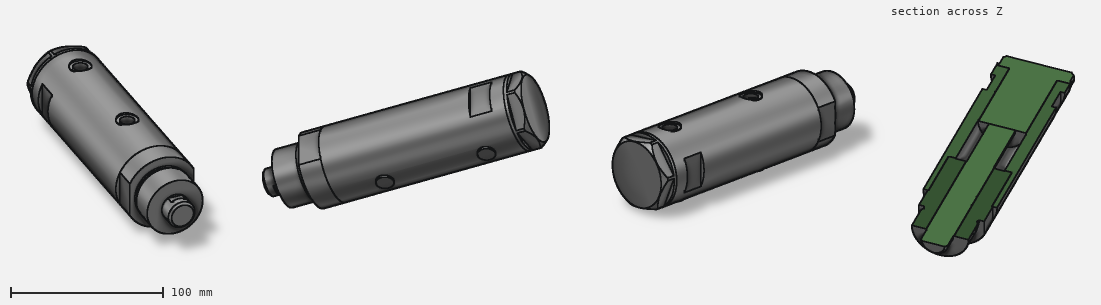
import cadquery as cq
import math

HEX_LENGTH = 8.8
FLANGE_LENGTH = 2.4
HOUSING_START = HEX_LENGTH + FLANGE_LENGTH
HOUSING_END = 143.6
COLLAR_END = 159.3
NOSE_END = 180.0
TOTAL_LENGTH = 192.02

BODY_DIAMETER = 52.0
BORE_DIAMETER = 34.0
NOSE_DIAMETER = 40.0
GLAND_SPIGOT_DIAMETER = 44.0
ROD_DIAMETER = 19.0

HEX_ACROSS_FLATS = 46.0
HEX_ROTATION = -7.5
HEX_CHAMFER = 3.2

WRENCH_FLATS = 46.0
HOUSING_FLAT_START = 21.0
HOUSING_FLAT_LENGTH = 15.2

PORT_POSITIONS = (30.3, 104.5)
PORT_DIAMETER = 10.0
SPOTFACE_DIAMETER = 15.0
SPOTFACE_DEPTH = 1.4

PAD_POSITIONS = (35.0, 107.8)
PAD_DIAMETER = 12.0
PAD_HEIGHT = 1.1

CAP_SPIGOT_END = sum(PORT_POSITIONS) / 2
GLAND_SPIGOT_START = 107.3

UNDERCUT_LENGTH = 3.4
UNDERCUT_FLAT_LENGTH = 0.9
UNDERCUT_DIAMETER = 37.4
UNDERCUT_FIRST_CONE = 0.9
UNDERCUT_SHOULDER_DIAMETER = 39.0

TIP_FLAT_LENGTH = 5.7
TIP_ACROSS_FLATS = 16.0
TIP_CHAMFER = 1.6


def cylinder(diameter, start, end):
    """Solid cylinder on the X axis between two stations."""
    return cq.Workplane("YZ", origin=(start, 0, 0)).circle(diameter / 2).extrude(end - start)


def flat_cutters(across, start, length):
    """Two blocks that leave a pair of flats facing +/- Y."""
    cutters = cq.Workplane()
    for side in (-1, 1):
        block = cq.Workplane().box(length, BODY_DIAMETER, 2 * BODY_DIAMETER)
        y_center = side * (across + BODY_DIAMETER) / 2
        cutters = cutters.add(block.translate((start + length / 2, y_center, 0)))
    return cutters.combine()


def make_cap():
    """Hex cap with a round flange and a solid spigot that closes the rear of the bore."""
    hex_corners = HEX_ACROSS_FLATS / math.cos(math.pi / 6)
    hexagon = (
        cq.Workplane("YZ")
        .polygon(6, hex_corners)
        .extrude(HEX_LENGTH)
        .rotate((0, 0, 0), (1, 0, 0), HEX_ROTATION)
    )
    rounded_blank = cylinder(BODY_DIAMETER, 0, HEX_LENGTH).faces("<X").chamfer(HEX_CHAMFER)
    flange = cylinder(BODY_DIAMETER, HEX_LENGTH, HOUSING_START)
    spigot = cylinder(BORE_DIAMETER, HOUSING_START, CAP_SPIGOT_END)
    return hexagon.intersect(rounded_blank).union(flange).union(spigot)


def make_housing():
    """Stepped-bore tube with two top ports, two bottom pads and a pair of wrench flats."""
    housing = cylinder(BODY_DIAMETER, HOUSING_START, HOUSING_END)
    pad_reach = BODY_DIAMETER / 2 + PAD_HEIGHT
    for x in PAD_POSITIONS:
        pad = cq.Workplane(origin=(x, 0, -pad_reach)).circle(PAD_DIAMETER / 2).extrude(pad_reach)
        housing = housing.union(pad)
    housing = housing.cut(cylinder(BORE_DIAMETER, HOUSING_START, GLAND_SPIGOT_START))
    housing = housing.cut(cylinder(GLAND_SPIGOT_DIAMETER, GLAND_SPIGOT_START, HOUSING_END))
    spotface_z = BODY_DIAMETER / 2 - SPOTFACE_DEPTH
    for x in PORT_POSITIONS:
        port = cq.Workplane(origin=(x, 0, 0)).circle(PORT_DIAMETER / 2).extrude(BODY_DIAMETER)
        spotface_plane = cq.Workplane(origin=(x, 0, spotface_z))
        spotface = spotface_plane.circle(SPOTFACE_DIAMETER / 2).extrude(SPOTFACE_DEPTH)
        housing = housing.cut(port).cut(spotface)
    return housing.cut(flat_cutters(WRENCH_FLATS, HOUSING_FLAT_START, HOUSING_FLAT_LENGTH))


def make_gland():
    """Front gland: spigot inside the housing, collar with wrench flats, undercut and nose."""
    floor_start = COLLAR_END + UNDERCUT_FIRST_CONE
    profile = [
        (GLAND_SPIGOT_START, ROD_DIAMETER / 2),
        (GLAND_SPIGOT_START, GLAND_SPIGOT_DIAMETER / 2),
        (HOUSING_END, GLAND_SPIGOT_DIAMETER / 2),
        (HOUSING_END, BODY_DIAMETER / 2),
        (COLLAR_END, BODY_DIAMETER / 2),
        (COLLAR_END, UNDERCUT_SHOULDER_DIAMETER / 2),
        (floor_start, UNDERCUT_DIAMETER / 2),
        (floor_start + UNDERCUT_FLAT_LENGTH, UNDERCUT_DIAMETER / 2),
        (COLLAR_END + UNDERCUT_LENGTH, NOSE_DIAMETER / 2),
        (NOSE_END, NOSE_DIAMETER / 2),
        (NOSE_END, ROD_DIAMETER / 2),
    ]
    gland = cq.Workplane("XZ").polyline(profile).close().revolve(360, (0, 0, 0), (1, 0, 0))
    return gland.cut(flat_cutters(WRENCH_FLATS, HOUSING_END, COLLAR_END - HOUSING_END))


def make_rod():
    """Rod from the cap spigot out through the gland, with flats and a chamfer on its tip."""
    rod = cylinder(ROD_DIAMETER, CAP_SPIGOT_END, TOTAL_LENGTH).faces(">X").chamfer(TIP_CHAMFER)
    flats = flat_cutters(TIP_ACROSS_FLATS, NOSE_END, TIP_FLAT_LENGTH)
    return rod.cut(flats.rotate((0, 0, 0), (1, 0, 0), 90))


cap = make_cap()
housing = make_housing()
gland = make_gland()
rod = make_rod()
result = cq.Compound.makeCompound([cap.val(), housing.val(), gland.val(), rod.val()])